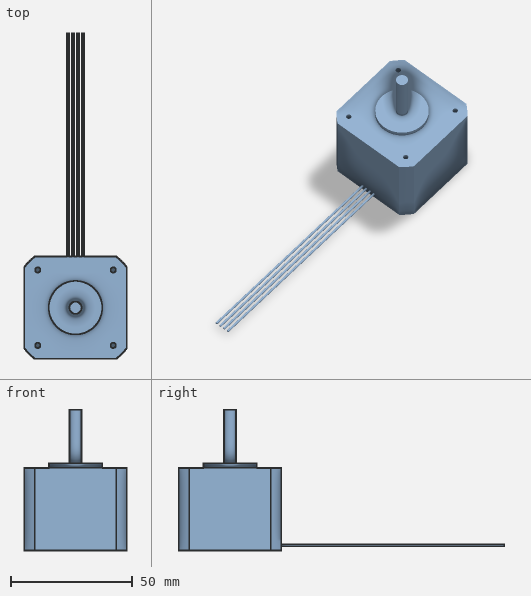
import cadquery as cq

BODY_WIDTH = 42.16
BODY_HEIGHT = 34.0
CORNER_CIRCLE_DIAMETER = 53.8

PILOT_DIAMETER = 22.0
PILOT_HEIGHT = 2.0
SHAFT_DIAMETER = 5.0
OVERALL_HEIGHT = 57.91

HOLE_SPACING = 31.0
HOLE_DIAMETER = 2.18
HOLE_DEPTH = 4.5

WIRE_COUNT = 4
WIRE_DIAMETER = 0.96
WIRE_PITCH = 2.032
WIRE_CENTRE_HEIGHT = 2.2
OVERALL_LENGTH = 133.77
WIRE_EMBED = 1.0


def make_body():
    square = cq.Workplane("XY").rect(BODY_WIDTH, BODY_WIDTH).extrude(BODY_HEIGHT)
    turned = cq.Workplane("XY").circle(CORNER_CIRCLE_DIAMETER / 2).extrude(BODY_HEIGHT)
    return square.intersect(turned)


def make_pilot_and_shaft():
    pilot = (
        cq.Workplane("XY", origin=(0, 0, BODY_HEIGHT))
        .circle(PILOT_DIAMETER / 2)
        .extrude(PILOT_HEIGHT)
    )
    shaft = (
        cq.Workplane("XY", origin=(0, 0, BODY_HEIGHT))
        .circle(SHAFT_DIAMETER / 2)
        .extrude(OVERALL_HEIGHT - BODY_HEIGHT)
    )
    return pilot.union(shaft)


def make_mounting_holes():
    return (
        cq.Workplane("XY", origin=(0, 0, BODY_HEIGHT))
        .rect(HOLE_SPACING, HOLE_SPACING, forConstruction=True)
        .vertices()
        .circle(HOLE_DIAMETER / 2)
        .extrude(-HOLE_DEPTH)
    )


def make_wires():
    start_y = BODY_WIDTH / 2 - WIRE_EMBED
    length = OVERALL_LENGTH - BODY_WIDTH + WIRE_EMBED
    return (
        cq.Workplane("XZ", origin=(0, start_y, WIRE_CENTRE_HEIGHT))
        .rarray(WIRE_PITCH, 1, WIRE_COUNT, 1)
        .circle(WIRE_DIAMETER / 2)
        .extrude(-length)
    )


result = (
    make_body()
    .union(make_pilot_and_shaft())
    .cut(make_mounting_holes())
    .union(make_wires())
)